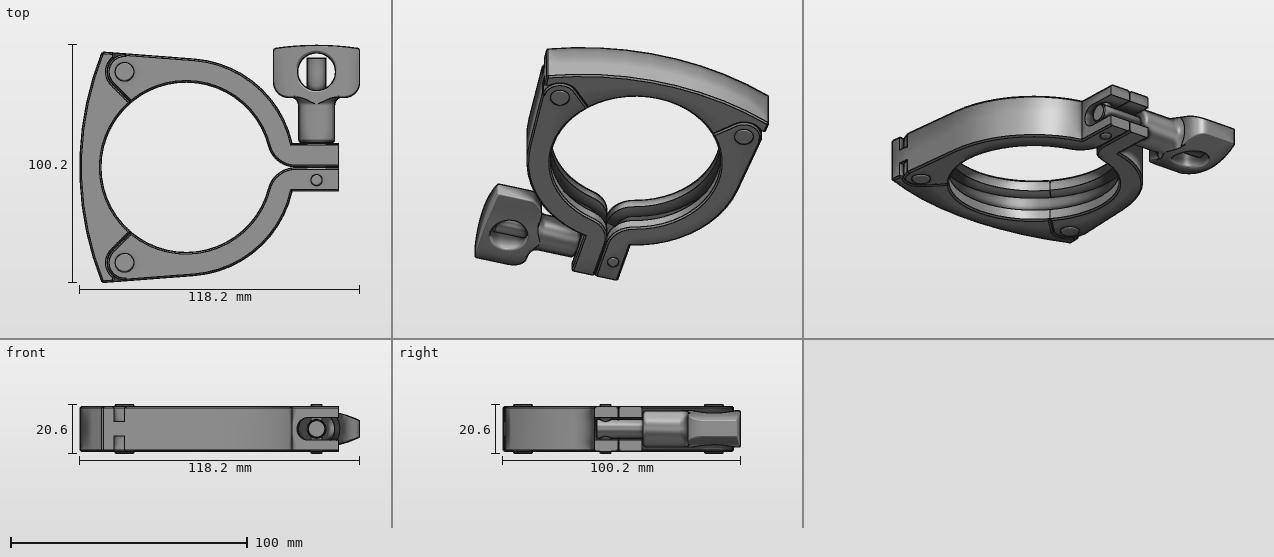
import cadquery as cq
import math

BODY_HEIGHT = 19.0
BORE_RADIUS = 35.9
RING_RADIUS = 45.9
EDGE_CHAMFER = 0.7

LINK_BACK_X = -44.9
LINK_CORNER_X = -35.5
LINK_CORNER_Y = 48.7
LINK_CORNER_CHAMFER = 0.6

HINGE_X = -26.0
HINGE_Y = 40.3
HINGE_PIN_DIAMETER = 7.9
KNUCKLE_RADIUS = 7.2
HINGE_CLEARANCE = 0.1
TONGUE_HEIGHT = 6.1
NOTCH_WIDTH = 4.43
PIN_PROJECTION = 0.8
PIN_EDGE_FILLET = 0.6

LUG_END_X = 64.4
LUG_OUTER_Y = 10.0
LUG_GAP = 0.4
NECK_RADIUS = 11.8
SLOT_WIDTH = 9.6
SLOT_END_X = 46.8

GROOVE_DEPTH = 4.1
GROOVE_MOUTH_HEIGHT = 9.1
GROOVE_FLOOR_HEIGHT = 6.1

BOLT_X = 55.1
BOLT_DIAMETER = 7.9
BOLT_START_Y = -9.5
BOLT_END_Y = 46.1
BOLT_CHAMFER = 0.5
BOLT_PIN_Y = -5.4
BOLT_PIN_DIAMETER = 4.7

SLEEVE_DIAMETER = 15.2
SLEEVE_START_Y = 10.4
SLEEVE_FILLET = 1.4
FLARE_START_Y = 26.0
FLARE_RADIUS = 3.8
WING_HALF_WIDTH = 18.2
WING_BOTTOM_Y = 29.4
WING_SIDE_TOP_Y = 50.1
WING_TOP_Y = 51.5
WING_THICKNESS = 15.4
WING_TIP_THICKNESS = 6.9
WING_CORNER_RADIUS = 6.5
WING_TOP_CORNER_RADIUS = 1.2
WING_EDGE_FILLET = 0.7
WING_HOLE_DIAMETER = 15.8
WING_HOLE_Y = 40.3
WING_HOLE_FILLET = 1.0

HALF_HEIGHT = BODY_HEIGHT / 2
FLANK_ANGLE = math.atan2(LINK_CORNER_Y, LINK_CORNER_X) - math.acos(
    RING_RADIUS / math.hypot(LINK_CORNER_X, LINK_CORNER_Y)
)
FLANK_NORMAL = (math.cos(FLANK_ANGLE), math.sin(FLANK_ANGLE))
NECK_Y = LUG_GAP / 2 + NECK_RADIUS
NECK_X = math.sqrt((BORE_RADIUS + NECK_RADIUS) ** 2 - NECK_Y**2)
NECK_ANGLE = math.atan2(NECK_Y, NECK_X)


def polar(radius, angle, center=(0, 0)):
    return (center[0] + radius * math.cos(angle), center[1] + radius * math.sin(angle))


def flank_y(x):
    """Y of the +Y flank line at a given x."""
    return (RING_RADIUS - x * FLANK_NORMAL[0]) / FLANK_NORMAL[1]


def seam_points(radius):
    """Start of the 45 degree seam that touches a knuckle of this radius, and its angle at the bore."""
    tangent = polar(radius, math.radians(225), (HINGE_X, HINGE_Y))
    offset = (tangent[0] + tangent[1]) / math.sqrt(2)
    bore_angle = math.radians(45) + math.acos(offset / BORE_RADIUS)
    return tangent, bore_angle


def mirrored(shape):
    return shape.union(shape.mirror("XZ"))


def extrude_body(outline):
    return outline.extrude(HALF_HEIGHT, both=True)


def make_arm():
    """Arm on the +Y side: knuckle, half ring, neck and lug."""
    hinge = (HINGE_X, HINGE_Y)
    neck = (NECK_X, NECK_Y)
    seam_start, seam_angle = seam_points(KNUCKLE_RADIUS)
    lug_corner_x = math.sqrt(RING_RADIUS**2 - LUG_OUTER_Y**2)
    lug_corner_angle = math.atan2(LUG_OUTER_Y, lug_corner_x)
    neck_mid_angle = (math.pi + NECK_ANGLE + 1.5 * math.pi) / 2
    outline = (
        cq.Workplane("XY")
        .moveTo(HINGE_X, flank_y(HINGE_X))
        .lineTo(HINGE_X, HINGE_Y + KNUCKLE_RADIUS)
        .threePointArc(polar(KNUCKLE_RADIUS, math.pi, hinge), seam_start)
        .lineTo(*polar(BORE_RADIUS, seam_angle))
        .threePointArc(
            polar(BORE_RADIUS, (seam_angle + NECK_ANGLE) / 2), polar(BORE_RADIUS, NECK_ANGLE)
        )
        .threePointArc(polar(NECK_RADIUS, neck_mid_angle, neck), (NECK_X, LUG_GAP / 2))
        .lineTo(LUG_END_X, LUG_GAP / 2)
        .lineTo(LUG_END_X, LUG_OUTER_Y)
        .lineTo(lug_corner_x, LUG_OUTER_Y)
        .threePointArc(
            polar(RING_RADIUS, (lug_corner_angle + FLANK_ANGLE) / 2), polar(RING_RADIUS, FLANK_ANGLE)
        )
        .close()
    )
    lug_end_edges = cq.selectors.BoxSelector(
        (LUG_END_X - 0.1, 0, -BODY_HEIGHT), (LUG_END_X + 0.1, LUG_OUTER_Y, BODY_HEIGHT)
    )
    rim_edges = extrude_body(outline).faces("|Z").edges(cq.selectors.InverseSelector(lug_end_edges))
    return rim_edges.chamfer(EDGE_CHAMFER)


def hinge_pocket(height):
    """Space in the link for the +Y knuckle: everything ahead of the knuckle and the seam."""
    radius = KNUCKLE_RADIUS + HINGE_CLEARANCE
    seam_start, _ = seam_points(radius)
    far = 2 * BORE_RADIUS
    notch_x = HINGE_X - NOTCH_WIDTH
    notch_y = HINGE_Y + math.sqrt(radius**2 - NOTCH_WIDTH**2)
    return (
        cq.Workplane("XY")
        .moveTo(notch_x, notch_y)
        .threePointArc((HINGE_X - radius, HINGE_Y), seam_start)
        .lineTo(0, seam_start[0] + seam_start[1])
        .lineTo(far, 0)
        .lineTo(far, far)
        .lineTo(notch_x, far)
        .close()
        .extrude(height / 2, both=True)
    )


def link_blank():
    """Full-depth link before the hinge pockets are cut, reaching the ends of the flanks."""
    flank_end = polar(RING_RADIUS, FLANK_ANGLE)
    outline = (
        cq.Workplane("XY")
        .moveTo(LINK_CORNER_X, -LINK_CORNER_Y)
        .threePointArc((LINK_BACK_X, 0), (LINK_CORNER_X, LINK_CORNER_Y))
        .lineTo(*flank_end)
        .lineTo(flank_end[0], -flank_end[1])
        .close()
    )
    bore = cq.Workplane("XY").circle(BORE_RADIUS).extrude(HALF_HEIGHT, both=True)
    solid = extrude_body(outline).edges("|Z").edges("<X").chamfer(LINK_CORNER_CHAMFER)
    return solid.cut(bore)


def make_link():
    """Link with open hinge pockets above and below a tongue at mid height."""
    blank = link_blank()
    pockets = mirrored(hinge_pocket(BODY_HEIGHT))
    link = blank.cut(pockets).faces("|Z").edges().chamfer(EDGE_CHAMFER)
    slab = cq.Workplane("XY").box(4 * RING_RADIUS, 4 * RING_RADIUS, TONGUE_HEIGHT)
    return link.union(blank.intersect(slab))


def groove_solid(center, mouth_radius, floor_radius, start_angle, sweep):
    """Trapezoid swept about the vertical axis through center, between two radii."""
    mouth = GROOVE_MOUTH_HEIGHT / 2
    floor = GROOVE_FLOOR_HEIGHT / 2
    solid = (
        cq.Workplane("XZ")
        .moveTo(mouth_radius, -mouth)
        .lineTo(floor_radius, -floor)
        .lineTo(floor_radius, floor)
        .lineTo(mouth_radius, mouth)
        .close()
        .revolve(math.degrees(sweep), (0, 0), (0, 1))
    )
    turned = solid.rotate((0, 0, 0), (0, 0, 1), math.degrees(start_angle))
    return turned.translate((*center, 0))


def make_groove():
    """Groove around the bore, and its continuation around both necks."""
    ring = groove_solid((0, 0), BORE_RADIUS, BORE_RADIUS + GROOVE_DEPTH, 0, 2 * math.pi)
    neck = groove_solid(
        (NECK_X, NECK_Y),
        NECK_RADIUS,
        NECK_RADIUS - GROOVE_DEPTH,
        math.pi + NECK_ANGLE,
        math.pi / 2 - NECK_ANGLE,
    )
    return ring.union(mirrored(neck))


def make_slot():
    """Slot through both lugs, open at their ends, for the swing bolt."""
    center_x = SLOT_END_X + SLOT_WIDTH / 2
    return (
        cq.Workplane("XZ")
        .moveTo(LUG_END_X, -SLOT_WIDTH / 2)
        .lineTo(center_x, -SLOT_WIDTH / 2)
        .threePointArc((SLOT_END_X, 0), (center_x, SLOT_WIDTH / 2))
        .lineTo(LUG_END_X, SLOT_WIDTH / 2)
        .close()
        .extrude(LUG_OUTER_Y, both=True)
    )


def make_pin(x, y, diameter):
    """Pin through the whole body, proud of both faces, with rounded ends."""
    half_length = HALF_HEIGHT + PIN_PROJECTION
    pin = cq.Workplane("XY").center(x, y).circle(diameter / 2).extrude(half_length, both=True)
    return pin.faces("|Z").edges().fillet(PIN_EDGE_FILLET)


def y_cylinder(diameter, start_y, end_y):
    """Cylinder on the bolt axis."""
    return (
        cq.Workplane("XZ", origin=(BOLT_X, start_y, 0)).circle(diameter / 2).extrude(start_y - end_y)
    )


def make_wing():
    """Wing of the nut: a rounded outline kept inside a lens that thins towards both tips."""
    outline = (
        cq.Workplane("XY", origin=(BOLT_X, 0, 0))
        .moveTo(-WING_HALF_WIDTH, WING_BOTTOM_Y)
        .lineTo(WING_HALF_WIDTH, WING_BOTTOM_Y)
        .lineTo(WING_HALF_WIDTH, WING_SIDE_TOP_Y)
        .threePointArc((0, WING_TOP_Y), (-WING_HALF_WIDTH, WING_SIDE_TOP_Y))
        .close()
        .extrude(WING_THICKNESS, both=True)
        .edges("|Z")
        .edges("<Y")
        .fillet(WING_CORNER_RADIUS)
        .edges("|Z")
        .edges(">Y")
        .fillet(WING_TOP_CORNER_RADIUS)
    )
    lens = (
        cq.Workplane("XZ", origin=(BOLT_X, 0, 0))
        .moveTo(-WING_HALF_WIDTH, -WING_TIP_THICKNESS / 2)
        .threePointArc((0, -WING_THICKNESS / 2), (WING_HALF_WIDTH, -WING_TIP_THICKNESS / 2))
        .lineTo(WING_HALF_WIDTH, WING_TIP_THICKNESS / 2)
        .threePointArc((0, WING_THICKNESS / 2), (-WING_HALF_WIDTH, WING_TIP_THICKNESS / 2))
        .close()
        .extrude(-2 * WING_TOP_Y)
    )
    wing = outline.intersect(lens).edges("not |Z").fillet(WING_EDGE_FILLET)

    sleeve_radius = SLEEVE_DIAMETER / 2
    flare = (
        cq.Workplane("XY", origin=(BOLT_X, 0, 0))
        .moveTo(0, FLARE_START_Y)
        .lineTo(sleeve_radius, FLARE_START_Y)
        .threePointArc(
            polar(FLARE_RADIUS, math.radians(135), (sleeve_radius + FLARE_RADIUS, FLARE_START_Y)),
            (sleeve_radius + FLARE_RADIUS, FLARE_START_Y + FLARE_RADIUS),
        )
        .lineTo(sleeve_radius + FLARE_RADIUS, WING_HOLE_Y)
        .lineTo(0, WING_HOLE_Y)
        .close()
        .revolve(360, (0, 0), (0, 1))
    )
    return wing.union(flare.intersect(lens))


def make_nut():
    """Wing nut: sleeve and wing, with a round-edged hole through the wing."""
    sleeve = y_cylinder(SLEEVE_DIAMETER, SLEEVE_START_Y, WING_BOTTOM_Y)
    sleeve = sleeve.faces("<Y").edges().fillet(SLEEVE_FILLET)
    hole = (
        cq.Workplane("XY", origin=(BOLT_X, WING_HOLE_Y, 0))
        .circle(WING_HOLE_DIAMETER / 2)
        .extrude(WING_THICKNESS, both=True)
    )
    nut = make_wing().union(sleeve).cut(hole)
    hole_edges = cq.selectors.BoxSelector(
        (BOLT_X - WING_HOLE_DIAMETER, WING_HOLE_Y - 1.2, -WING_THICKNESS),
        (BOLT_X + WING_HOLE_DIAMETER, WING_HOLE_Y + 1.2, WING_THICKNESS),
    )
    return nut.edges(hole_edges).fillet(WING_HOLE_FILLET)


def make_bolt():
    bolt = y_cylinder(BOLT_DIAMETER, BOLT_START_Y, BOLT_END_Y)
    return bolt.faces("<Y").edges().chamfer(BOLT_CHAMFER)


result = (
    make_link()
    .union(mirrored(make_arm()))
    .cut(make_groove())
    .cut(make_slot())
    .union(make_nut())
    .union(make_bolt())
    .union(make_pin(BOLT_X, BOLT_PIN_Y, BOLT_PIN_DIAMETER))
)
for side in (-1, 1):
    result = result.union(make_pin(HINGE_X, side * HINGE_Y, HINGE_PIN_DIAMETER))